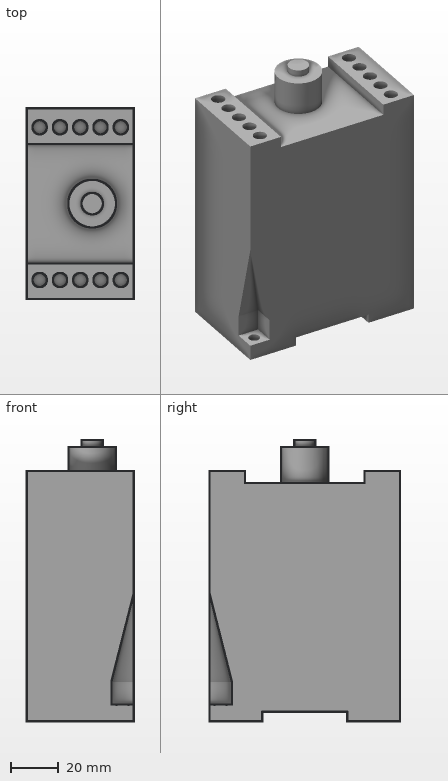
import cadquery as cq

WIDTH = 45.0
LENGTH = 80.0
HEIGHT = 105.0

CHANNEL_LENGTH = 50.0
CHANNEL_DEPTH = 5.0
CHANNEL_FLOOR = HEIGHT - CHANNEL_DEPTH

RAIL_SLOT_LENGTH = 35.5
RAIL_SLOT_DEPTH = 4.0

TERMINALS_PER_ROW = 5
TERMINAL_PITCH = 8.5
TERMINAL_DIAMETER = 6.0
TERMINAL_DEPTH = CHANNEL_DEPTH
TERMINAL_ROW_Y = 32.0

KNOB_X = 5.0
KNOB_DIAMETER = 20.0
KNOB_TOP = 115.0
BUTTON_DIAMETER = 9.0
BUTTON_TOP = 118.0

NOTCH_SIDE = 9.5
FOOT_THICKNESS = 7.0
NOTCH_STRAIGHT_TOP = FOOT_THICKNESS + NOTCH_SIDE
NOTCH_APEX = 54.0
FOOT_HOLE_DIAMETER = 5.0


def make_housing():
    """Block with the top channel and the rail slot removed."""
    block = cq.Workplane("XY").box(WIDTH, LENGTH, HEIGHT, centered=(True, True, False))
    channel = (
        cq.Workplane("XY", origin=(0, 0, CHANNEL_FLOOR))
        .box(WIDTH, CHANNEL_LENGTH, CHANNEL_DEPTH, centered=(True, True, False))
    )
    rail_slot = cq.Workplane("XY").box(
        WIDTH, RAIL_SLOT_LENGTH, RAIL_SLOT_DEPTH, centered=(True, True, False)
    )
    return block.cut(channel).cut(rail_slot)


def make_terminal_holes():
    """Both rows of blind holes, as solids to be removed."""
    return (
        cq.Workplane("XY", origin=(0, 0, HEIGHT))
        .rarray(TERMINAL_PITCH, 2 * TERMINAL_ROW_Y, TERMINALS_PER_ROW, 2)
        .circle(TERMINAL_DIAMETER / 2)
        .extrude(-TERMINAL_DEPTH)
    )


def make_post(diameter, bottom, top):
    """Upright cylinder on the knob axis."""
    return cq.Workplane("XY", origin=(KNOB_X, 0, bottom)).circle(diameter / 2).extrude(top - bottom)


def make_taper(plane, corner, side_sign, run):
    """Triangular prism narrowing upward to a block side, reaching `run` each way from the plane."""
    inner = corner - side_sign * NOTCH_SIDE
    return (
        cq.Workplane(plane)
        .polyline([(corner, NOTCH_STRAIGHT_TOP), (inner, NOTCH_STRAIGHT_TOP), (corner, NOTCH_APEX)])
        .close()
        .extrude(run, both=True)
    )


def make_notch(x_sign, y_sign):
    """Square corner pocket tapering to a point on the edge, with a hole through the foot."""
    foot_x = x_sign * (WIDTH - NOTCH_SIDE) / 2
    foot_y = y_sign * (LENGTH - NOTCH_SIDE) / 2
    pocket = (
        cq.Workplane("XY", origin=(foot_x, foot_y, FOOT_THICKNESS))
        .box(NOTCH_SIDE, NOTCH_SIDE, NOTCH_SIDE, centered=(True, True, False))
    )
    foot_hole = (
        cq.Workplane("XY", origin=(foot_x, foot_y, 0))
        .circle(FOOT_HOLE_DIAMETER / 2)
        .extrude(FOOT_THICKNESS)
    )
    x_taper = make_taper("XZ", x_sign * WIDTH / 2, x_sign, LENGTH / 2)
    y_taper = make_taper("YZ", y_sign * LENGTH / 2, y_sign, WIDTH / 2)
    return pocket.union(x_taper.intersect(y_taper)).union(foot_hole)


result = (
    make_housing()
    .cut(make_terminal_holes())
    .union(make_post(KNOB_DIAMETER, CHANNEL_FLOOR, KNOB_TOP))
    .union(make_post(BUTTON_DIAMETER, KNOB_TOP, BUTTON_TOP))
)
for x_sign, y_sign in ((1, -1), (-1, 1)):
    result = result.cut(make_notch(x_sign, y_sign))